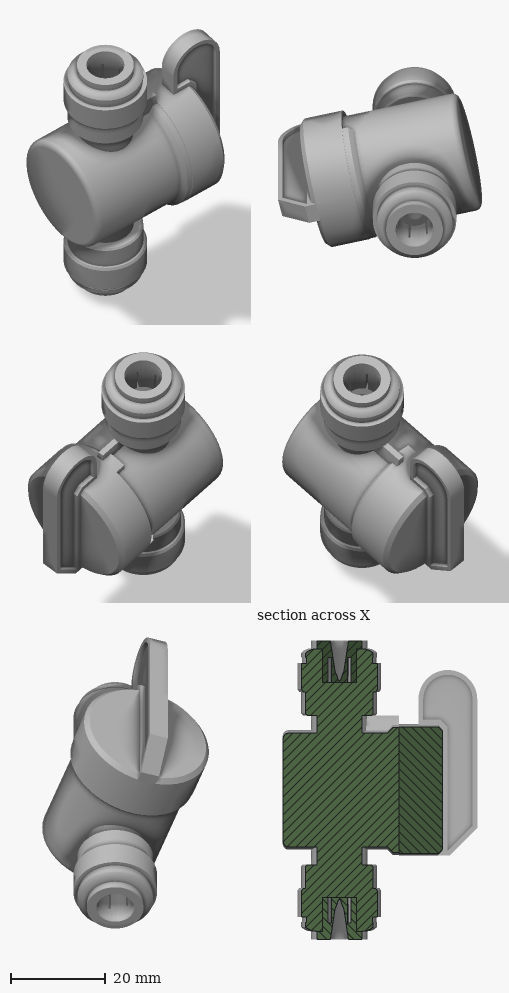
import cadquery as cq
import math


barrel_radius = 12.6
barrel_front = -11.9
barrel_fillet = 1.25
port_diameter = 4.0

overall_length = 63.0
collet_end = overall_length / 2
flange_thickness = 1.7
fitting_end = collet_end - flange_thickness
neck_radius = 6.0
collar_radius = 8.0
collar_base = 15.7
collar_base_chamfer = 0.4
grip_ring_radius = 8.8
grip_ring_chamfer = 0.4
grip_ring_chamfer_height = 0.55
grip_ring_base = 20.65
grip_ring_top = 26.8
groove_diameter = 15.7
groove_radius = groove_diameter / 2
groove_top = 27.85
nose_height = 0.95

collet_stem_diameter = 10.0
collet_stem_radius = collet_stem_diameter / 2
collet_bottom = 22.7
mouth_diameter = 8.0
mouth_radius = mouth_diameter / 2
finger_tip_radius = 3.5
slot_count = 6
slot_width = 0.5
slot_top = 27.9
first_slot_angle = 30.0
slot_spacing = 360 / slot_count

cap_radius = 13.85
cap_front = 12.6
cap_back = 21.8
cap_chamfer = 0.95

lug_width = 3.85
lug_front = 10.15
skirt_radius = 13.75
skirt_chamfer = skirt_radius - barrel_radius
stop_top_width = 1.25
stop_base_width = 2.0

grip_thickness = 4.0
grip_back = 29.1
grip_width = 12.4
grip_front = grip_back - grip_width
grip_arc_radius = grip_width / 2
grip_top = 25.25
grip_arc_height = grip_top - grip_arc_radius
grip_corner_run = 5.85
recess_depth = 1.0
rim_width = 1.0


def cylinder_z(radius, bottom, top):
    return cq.Workplane("XY").workplane(offset=bottom).circle(radius).extrude(top - bottom)


def make_fitting():
    """Upper tube fitting: neck, collar, grip ring, groove and rounded nose, turned about Z."""
    nose_base = fitting_end - nose_height
    nose_run = collar_radius - neck_radius
    nose_arc_radius = (nose_run**2 + nose_height**2) / (2 * nose_height)
    half_angle = math.asin(nose_run / nose_arc_radius) / 2
    nose_middle = (
        neck_radius + nose_arc_radius * math.sin(half_angle),
        fitting_end - nose_arc_radius * (1 - math.cos(half_angle)),
    )
    profile = (
        cq.Workplane("XZ")
        .lineTo(neck_radius, 0)
        .lineTo(neck_radius, collar_base)
        .lineTo(collar_radius - collar_base_chamfer, collar_base)
        .lineTo(collar_radius, collar_base + collar_base_chamfer)
        .lineTo(collar_radius, grip_ring_base)
        .lineTo(grip_ring_radius - grip_ring_chamfer, grip_ring_base)
        .lineTo(grip_ring_radius, grip_ring_base + grip_ring_chamfer_height)
        .lineTo(grip_ring_radius, grip_ring_top)
        .lineTo(groove_radius, grip_ring_top)
        .lineTo(groove_radius, groove_top)
        .lineTo(collar_radius, groove_top)
        .lineTo(collar_radius, nose_base)
        .threePointArc(nose_middle, (neck_radius, fitting_end))
        .lineTo(0, fitting_end)
        .close()
    )
    return profile.revolve(360, (0, 0, 0), (0, 1, 0))


def make_stop_rib():
    """Rib from the neck to the cap face, upright on the lug side and sloped on the other."""
    return (
        cq.Workplane("XZ", origin=(0, cap_front, 0))
        .polyline([
            (0, 0),
            (0, collar_base),
            (stop_top_width, collar_base),
            (stop_base_width, barrel_radius),
            (stop_base_width, 0),
        ])
        .close()
        .extrude(cap_front)
    )


def make_skirt():
    """Raised band that runs from the rib round the +X side and the bottom to the turn limit."""
    band = (
        cq.Workplane("XZ", origin=(0, cap_front, 0))
        .circle(skirt_radius)
        .extrude(cap_front - lug_front)
        .faces("<Y")
        .chamfer(skirt_chamfer)
    )
    clearance = (
        cq.Workplane("XZ", origin=(0, cap_front, 0))
        .moveTo(0, -lug_width)
        .lineTo(-cap_radius, -lug_width)
        .lineTo(-cap_radius, cap_radius)
        .lineTo(0, cap_radius)
        .close()
        .extrude(cap_front - lug_front)
    )
    return band.cut(clearance)


def make_housing():
    barrel = (
        cq.Workplane("XZ", origin=(0, cap_front, 0))
        .circle(barrel_radius)
        .extrude(cap_front - barrel_front)
        .faces("<Y")
        .edges()
        .fillet(barrel_fillet)
    )
    fitting = make_fitting()
    housing = (
        barrel.union(make_skirt())
        .union(make_stop_rib())
        .union(fitting)
        .union(fitting.mirror("XY"))
        .cut(cylinder_z(port_diameter / 2, -fitting_end, fitting_end))
    )
    socket = cylinder_z(collet_stem_radius, collet_bottom, fitting_end)
    return housing.cut(socket).cut(socket.mirror("XY"))


def make_collet():
    """Upper collet: flange on the nose of the fitting, and a slotted stem with a tapering bore."""
    collet = (
        cq.Workplane("XZ")
        .moveTo(mouth_radius, collet_end)
        .lineTo(neck_radius, collet_end)
        .lineTo(neck_radius, fitting_end)
        .lineTo(collet_stem_radius, fitting_end)
        .lineTo(collet_stem_radius, collet_bottom)
        .lineTo(finger_tip_radius, collet_bottom)
        .close()
        .revolve(360, (0, 0, 0), (0, 1, 0))
    )
    slot = (
        cq.Workplane("XY", origin=(0, 0, collet_bottom))
        .rect(neck_radius, slot_width)
        .extrude(slot_top - collet_bottom)
        .translate((neck_radius / 2, 0, 0))
    )
    for index in range(slot_count):
        angle = first_slot_angle + index * slot_spacing
        collet = collet.cut(slot.rotate((0, 0, 0), (0, 0, 1), angle))
    return collet


def make_cap():
    cap = (
        cq.Workplane("XZ", origin=(0, cap_back, 0))
        .circle(cap_radius)
        .extrude(cap_back - cap_front)
        .faces(">Y")
        .chamfer(cap_chamfer)
    )
    lug = (
        cq.Workplane("XZ", origin=(0, cap_front, 0))
        .circle(cap_radius)
        .circle(barrel_radius)
        .extrude(cap_front - lug_front)
    )
    lug_window = cq.Workplane("XY").box(lug_width, cap_front, cap_radius, centered=False)
    return cap.union(lug.intersect(lug_window.translate((-lug_width, 0, 0))))


def grip_outline(inner_points):
    """Grip outline in the YZ plane; inner_points close it along the cap, from top to bottom."""
    return (
        cq.Workplane("YZ")
        .moveTo(grip_back, grip_corner_run - cap_radius)
        .lineTo(grip_back, grip_arc_height)
        .threePointArc(
            (grip_back - grip_arc_radius, grip_top),
            (grip_front, grip_arc_height),
        )
        .polyline(inner_points, includeCurrent=True)
        .lineTo(grip_back - grip_corner_run, -cap_radius)
        .close()
    )


def make_grip():
    chamfer_start = cap_back - cap_chamfer
    plate = grip_outline([
        (grip_front, 0),
        (chamfer_start, 0),
        (chamfer_start, -cap_radius),
    ]).extrude(grip_thickness / 2, both=True)
    recess = (
        grip_outline([
            (grip_front, cap_radius),
            (chamfer_start, cap_radius),
            (cap_back, cap_radius - cap_chamfer),
            (cap_back, -cap_radius),
        ])
        .offset2D(-rim_width, "intersection")
        .extrude(recess_depth)
    )
    plate = plate.cut(recess.translate((grip_thickness / 2 - recess_depth, 0, 0)))
    return plate.cut(recess.translate((-grip_thickness / 2, 0, 0)))


housing = make_housing()
handle = make_cap().union(make_grip())
upper_collet = make_collet()
collets = [upper_collet, upper_collet.mirror("XY")]

result = cq.Compound.makeCompound([
    housing.val(),
    handle.val(),
    *[collet.val() for collet in collets],
])